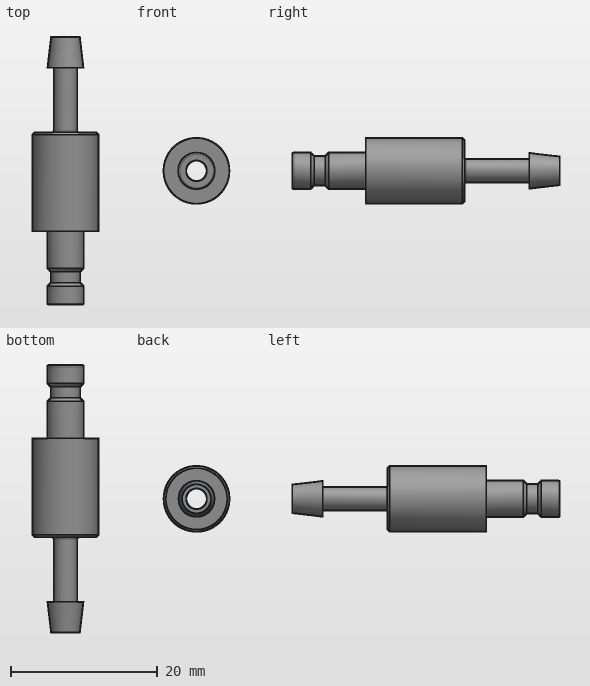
import cadquery as cq

total_length = 36.5
bore_diameter = 2.77

body_diameter = 9.0
body_length = 13.5
body_chamfer = 0.33

spigot_diameter = 5.0
spigot_length = 10.0
spigot_tip_fillet = 0.22
groove_diameter = 4.05
groove_start = 2.52
groove_width = 2.45

stem_diameter = 3.25
stem_root_fillet = 0.2
barb_length = 4.2
barb_base_diameter = 4.93
barb_tip_diameter = 3.95

plug_end = -total_length / 2
body_start = plug_end + spigot_length
body_end = body_start + body_length
hose_end = total_length / 2
barb_start = hose_end - barb_length


def cylinder(diameter, start, end):
    """Solid cylinder about the Y axis between two Y stations."""
    profile = cq.Workplane("XZ", origin=(0, start, 0)).circle(diameter / 2)
    return profile.extrude(start - end)


def revolve_profile(points):
    """Solid of revolution about the Y axis from (radius, Y) points."""
    profile = cq.Workplane("XY").polyline(points).close()
    return profile.revolve(360, (0, 0, 0), (0, 1, 0))


def make_body():
    body = cylinder(body_diameter, body_start, body_end)
    return body.faces(">Y").edges().chamfer(body_chamfer)


def make_spigot():
    spigot = cylinder(spigot_diameter, plug_end, body_start)
    return spigot.faces("<Y").edges().fillet(spigot_tip_fillet)


def make_groove():
    """Ring to remove from the spigot: flat floor with 45 degree flanks."""
    outer = spigot_diameter / 2
    floor = groove_diameter / 2
    flank = outer - floor
    near = plug_end + groove_start
    far = near + groove_width
    return revolve_profile([
        (outer, near),
        (floor, near + flank),
        (floor, far - flank),
        (outer, far),
    ])


def make_stem():
    """Hose stem with a concave fillet where it meets the body."""
    radius = stem_diameter / 2
    profile = (
        cq.Workplane("XY")
        .moveTo(0, body_end)
        .lineTo(radius + stem_root_fillet, body_end)
        .radiusArc((radius, body_end + stem_root_fillet), stem_root_fillet)
        .lineTo(radius, barb_start)
        .lineTo(0, barb_start)
        .close()
    )
    return profile.revolve(360, (0, 0, 0), (0, 1, 0))


def make_barb():
    return revolve_profile([
        (0, barb_start),
        (barb_base_diameter / 2, barb_start),
        (barb_tip_diameter / 2, hose_end),
        (0, hose_end),
    ])


outside = make_body().union(make_spigot()).union(make_stem()).union(make_barb())
bore = cylinder(bore_diameter, plug_end, hose_end)
result = outside.cut(make_groove()).cut(bore)